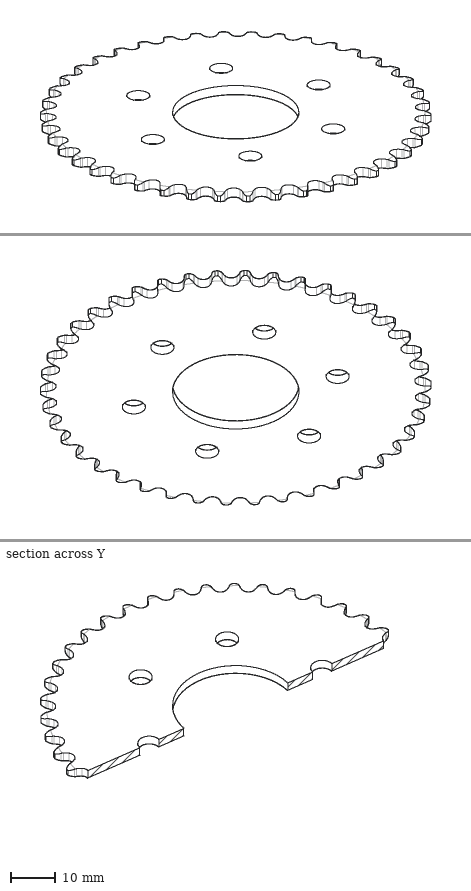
import cadquery as cq
import math

OUTER_RADIUS = 44.3
THICKNESS = 2.3
BORE_DIAMETER = 28.6

BOLT_COUNT = 6
BOLT_CIRCLE_RADIUS = 23.8
BOLT_DIAMETER = 5.2

CHAMFER_WIDTH = 1.4
CHAMFER_HEIGHT = 0.4

TOOTH_COUNT = 42
PITCH_DIAMETER = 84.9
PITCH_RADIUS = PITCH_DIAMETER / 2
ROLLER_DIAMETER = 3.3
ROLLER_CLEARANCE = 0.05
SEATING_RADIUS = ROLLER_DIAMETER / 2 + ROLLER_CLEARANCE

WORKING_CENTER_FACTOR = 0.8
TOPPING_CENTER_FACTOR = 1.4
SEATING_ANGLE = math.radians(35 + 60 / TOOTH_COUNT)
WORKING_ANGLE = math.radians(18 - 56 / TOOTH_COUNT)
TOOTH_ANGLE = 2 * math.pi / TOOTH_COUNT


def polar(radius, angle):
    """Vector in the XY plane, with the angle in radians from +X."""
    return cq.Vector(radius * math.cos(angle), radius * math.sin(angle))


def flank_points():
    """Right half of a tooth gap whose radial centre line is +Y, from the seat up to the tip."""
    roller = cq.Vector(0, PITCH_RADIUS)

    working_offset = WORKING_CENTER_FACTOR * ROLLER_DIAMETER
    working_center = roller - polar(working_offset, -SEATING_ANGLE)
    working_radius = working_offset + SEATING_RADIUS
    line_angle = WORKING_ANGLE - SEATING_ANGLE
    seat_end = roller + polar(SEATING_RADIUS, -SEATING_ANGLE)
    working_mid = working_center + polar(working_radius, line_angle - WORKING_ANGLE / 2)
    line_start = working_center + polar(working_radius, line_angle)

    topping_center = roller + polar(TOPPING_CENTER_FACTOR * ROLLER_DIAMETER, -TOOTH_ANGLE / 2)
    topping_radius = (topping_center - working_center).dot(polar(1, line_angle)) - working_radius
    line_end = topping_center - polar(topping_radius, line_angle)

    center_distance = topping_center.Length
    side_product = 2 * center_distance * topping_radius
    cos_tip = (center_distance**2 + topping_radius**2 - OUTER_RADIUS**2) / side_product
    center_angle = math.atan2(topping_center.y, topping_center.x)
    tip_angle = center_angle + math.pi - math.acos(cos_tip)
    start_angle = line_angle + math.pi
    topping_mid = topping_center + polar(topping_radius, (start_angle + tip_angle) / 2)
    tip = topping_center + polar(topping_radius, tip_angle)
    return seat_end, working_mid, line_start, line_end, topping_mid, tip


def toothed_plate():
    flank = flank_points()
    seat_end, working_mid, line_start, line_end, topping_mid, tip = range(len(flank))
    seat_bottom = cq.Vector(0, PITCH_RADIUS - SEATING_RADIUS)
    tooth_crest = polar(OUTER_RADIUS, math.pi / 2 - TOOTH_ANGLE / 2)

    def placed(point, index, mirrored=False):
        """Place a point in the numbered gap, going clockwise; tooth 0 is centred on +Y."""
        x = -point.x if mirrored else point.x
        turn = -(index + 0.5) * TOOTH_ANGLE
        return (
            x * math.cos(turn) - point.y * math.sin(turn),
            x * math.sin(turn) + point.y * math.cos(turn),
        )

    outline = cq.Workplane("XY").moveTo(*placed(flank[tip], 0, mirrored=True))
    for gap in range(TOOTH_COUNT):
        left = [placed(point, gap, mirrored=True) for point in flank]
        right = [placed(point, gap) for point in flank]
        outline = (
            outline.threePointArc(left[topping_mid], left[line_end])
            .lineTo(*left[line_start])
            .threePointArc(left[working_mid], left[seat_end])
            .threePointArc(placed(seat_bottom, gap), right[seat_end])
            .threePointArc(right[working_mid], right[line_start])
            .lineTo(*right[line_end])
            .threePointArc(right[topping_mid], right[tip])
            .threePointArc(placed(tooth_crest, gap), placed(flank[tip], gap + 1, mirrored=True))
        )
    return outline.close().extrude(THICKNESS)


def chamfered_disc():
    """Disc with conical edges that bevels both faces of the tooth tips."""
    face_radius = OUTER_RADIUS - CHAMFER_WIDTH
    return (
        cq.Workplane("XZ")
        .moveTo(0, 0)
        .lineTo(face_radius, 0)
        .lineTo(OUTER_RADIUS, CHAMFER_HEIGHT)
        .lineTo(OUTER_RADIUS, THICKNESS - CHAMFER_HEIGHT)
        .lineTo(face_radius, THICKNESS)
        .lineTo(0, THICKNESS)
        .close()
        .revolve(360, (0, 0), (0, 1))
    )


def bore_and_bolt_holes():
    bore = cq.Workplane("XY").circle(BORE_DIAMETER / 2).extrude(THICKNESS)
    bolts = (
        cq.Workplane("XY")
        .polarArray(BOLT_CIRCLE_RADIUS, 0, 360, BOLT_COUNT)
        .circle(BOLT_DIAMETER / 2)
        .extrude(THICKNESS)
    )
    return bore.add(bolts).combine()


result = toothed_plate().intersect(chamfered_disc()).cut(bore_and_bolt_holes())